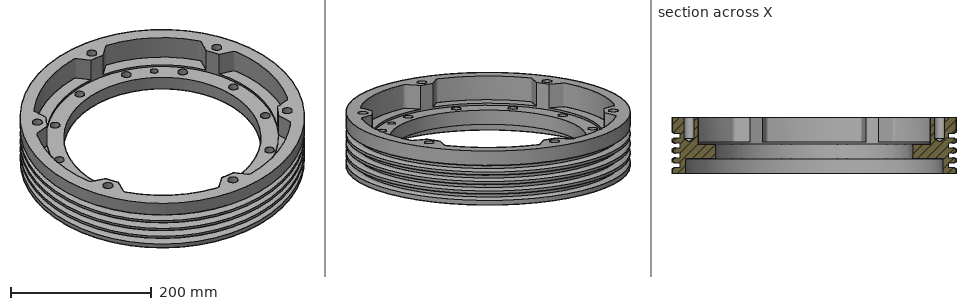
import math

import cadquery as cq

outer_radius = 202.0
height = 80.0
bore_radius = 140.0

register_radius = 165.0
pocket_radius = 183.0
pocket_depth = 35.0
pocket_corner_radius = 5.0
register_depth = 3.0
flange_thickness = 21.0
pocket_floor_z = height - pocket_depth
flange_top_z = pocket_floor_z - register_depth
flange_bottom_z = flange_top_z - flange_thickness
recess_radius = pocket_radius

groove_count = 4
groove_pitch = 14.0
groove_width = 6.0
groove_floor_radius = 191.0
first_groove_z = 12.0
lip_axial = 2.0
lip_radial = 3.7
lip_blend_radius = 4.0

boss_count = 6
first_boss_angle = 30.0
boss_angles = [first_boss_angle + index * 360 / boss_count for index in range(boss_count)]
boss_flank_apex_radius = 154.5
boss_hole_circle_radius = 178.0
boss_hole_diameter = 14.0
boss_hole_depth = 30.0
drill_point_angle = 118.0

flange_hole_circle_radius = 155.0
flange_hole_count = 12
flange_hole_diameter = 13.5
first_flange_hole_angle = 15.0
flange_hole_pitch = 360 / flange_hole_count
flange_hole_angles = [
    first_flange_hole_angle + index * flange_hole_pitch for index in range(flange_hole_count)
]
dowel_hole_diameter = 10.5
dowel_hole_angles = (120.0, 300.0)


def cylinder(radius, bottom_z, top_z):
    """Solid cylinder about the Z axis."""
    return cq.Workplane("XY").workplane(offset=bottom_z).circle(radius).extrude(top_z - bottom_z)


def polar_point(radius, angle):
    """XY point at a radius and an angle in degrees."""
    radians = math.radians(angle)
    return (radius * math.cos(radians), radius * math.sin(radians))


def ring_body():
    """Plain ring with the flange bore, the register bore and the bottom recess."""
    body = cylinder(outer_radius, 0, height)
    body = body.cut(cylinder(bore_radius, 0, height))
    body = body.cut(cylinder(register_radius, flange_top_z, height))
    return body.cut(cylinder(recess_radius, 0, flange_bottom_z))


def groove(center_z):
    """Ring-shaped cutter: a flat-bottomed groove with bevelled lips blended into its walls."""
    half_floor = groove_width / 2
    half_mouth = half_floor + lip_axial
    lip_radius = outer_radius - lip_radial
    bevel_angle = math.atan2(lip_axial, lip_radial)
    tangent_length = lip_blend_radius * math.tan(bevel_angle / 2)
    wall_point = lip_radius - tangent_length
    bevel_point = lip_radius + tangent_length * math.cos(bevel_angle)
    bevel_rise = tangent_length * math.sin(bevel_angle)
    arc_middle = wall_point + lip_blend_radius * math.sin(bevel_angle / 2)
    arc_rise = lip_blend_radius * (1 - math.cos(bevel_angle / 2))
    section = (
        cq.Workplane("XZ")
        .moveTo(groove_floor_radius, center_z - half_floor)
        .lineTo(wall_point, center_z - half_floor)
        .threePointArc(
            (arc_middle, center_z - half_floor - arc_rise),
            (bevel_point, center_z - half_floor - bevel_rise),
        )
        .lineTo(outer_radius, center_z - half_mouth)
        .lineTo(outer_radius, center_z + half_mouth)
        .lineTo(bevel_point, center_z + half_floor + bevel_rise)
        .threePointArc(
            (arc_middle, center_z + half_floor + arc_rise),
            (wall_point, center_z + half_floor),
        )
        .lineTo(groove_floor_radius, center_z + half_floor)
        .close()
    )
    return section.revolve(360, (0, 0, 0), (0, 1, 0))


def boss_block(angle):
    """Wedge that stays standing between two neighbouring pockets."""
    reach = outer_radius - boss_flank_apex_radius
    wedge = [(boss_flank_apex_radius, 0), (outer_radius, reach), (outer_radius, -reach)]
    block = cq.Workplane("XY").workplane(offset=pocket_floor_z).polyline(wedge).close().extrude(pocket_depth)
    return block.rotate((0, 0, 0), (0, 0, 1), angle)


def is_outer_corner(edge):
    """True for an upright edge outside the middle of the pocket's radial width."""
    center = edge.Center()
    return math.hypot(center.x, center.y) > (register_radius + pocket_radius) / 2


def pockets():
    """Cutter for all the pockets between the bosses, with rounded outer corners."""
    cutter = cylinder(pocket_radius, pocket_floor_z, height).cut(cylinder(register_radius, 0, height))
    for angle in boss_angles:
        cutter = cutter.cut(boss_block(angle))
    outer_corners = cutter.edges("|Z").filter(is_outer_corner)
    return outer_corners.fillet(pocket_corner_radius)


def boss_hole(angle):
    """Blind drilled hole with a conical bottom."""
    radius = boss_hole_diameter / 2
    point_depth = radius / math.tan(math.radians(drill_point_angle / 2))
    bottom_z = height - boss_hole_depth
    profile = [(0, height), (radius, height), (radius, bottom_z), (0, bottom_z - point_depth)]
    drill = cq.Workplane("XZ").polyline(profile).close().revolve(360, (0, 0, 0), (0, 1, 0))
    x, y = polar_point(boss_hole_circle_radius, angle)
    return drill.translate((x, y, 0))


def flange_holes(diameter, angles):
    """Through holes in the flange at the given angles."""
    points = [polar_point(flange_hole_circle_radius, angle) for angle in angles]
    return cq.Workplane("XY").pushPoints(points).circle(diameter / 2).extrude(height)


result = ring_body().cut(pockets())
for index in range(groove_count):
    result = result.cut(groove(first_groove_z + index * groove_pitch))
for angle in boss_angles:
    result = result.cut(boss_hole(angle))
result = result.cut(flange_holes(flange_hole_diameter, flange_hole_angles))
result = result.cut(flange_holes(dowel_hole_diameter, dowel_hole_angles))